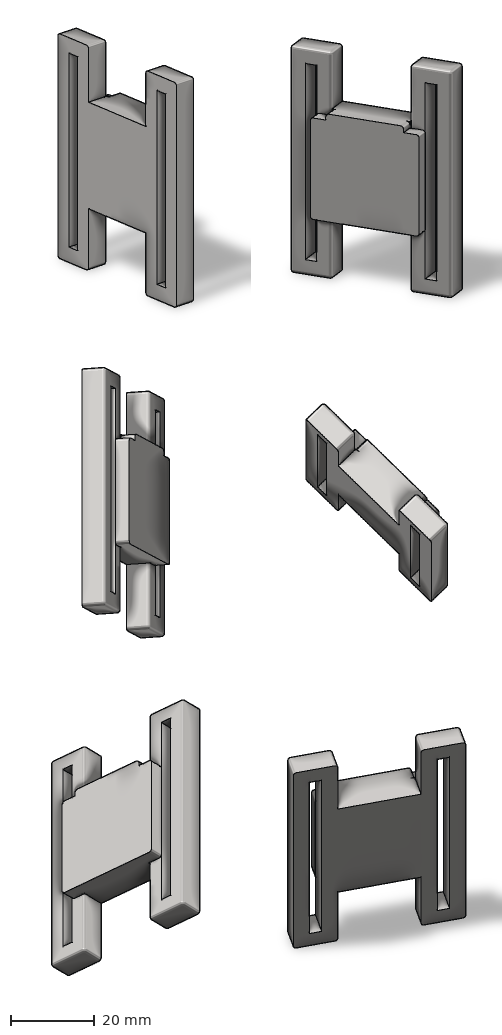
import cadquery as cq

total_width = 42.6
total_depth = 9.5
bar_height = 58.0

bar_width = 11.0
bar_depth = 6.0
edge_radius = 0.8
slot_width = 3.0
slot_margin = 4.0

bridge_bottom = 16.0
bridge_height = 27.5
bridge_width = total_width - 2 * bar_width
pad_width = 28.65
pad_shoulder_drop = 1.6
pad_top_radius = 0.9
pad_depth = total_depth - bar_depth


def block(width, depth, height, front, bottom):
    """Box centred on X, starting at the given front (Y) and bottom (Z)."""
    return cq.Workplane("XY").box(width, depth, height, centered=(True, False, False)).translate(
        (0, front, bottom)
    )


def slotted_bar(center_x):
    """Upright bar with rounded corners, a rounded rear rim and a through slot."""
    bar = block(bar_width, bar_depth, bar_height, 0, 0)
    bar = bar.edges("|Y").fillet(edge_radius)
    bar = bar.faces(">Y").edges().fillet(edge_radius)
    slot_height = bar_height - 2 * slot_margin
    slot = block(slot_width, bar_depth, slot_height, 0, slot_margin)
    return bar.cut(slot).translate((center_x, 0, 0))


def rear_pad():
    """Wide pad with rounded corners and a narrower raised top."""
    shoulder_height = bridge_height - pad_shoulder_drop
    wide = block(pad_width, pad_depth, shoulder_height, bar_depth, bridge_bottom)
    narrow = block(bridge_width, pad_depth, bridge_height, bar_depth, bridge_bottom)
    wide = wide.edges("|Y").fillet(edge_radius)
    narrow = narrow.edges("|Y and >Z").fillet(pad_top_radius)
    return wide.union(narrow)


bar_offset = (total_width - bar_width) / 2
result = block(bridge_width, bar_depth, bridge_height, 0, bridge_bottom)
for side in (-1, 1):
    result = result.union(slotted_bar(side * bar_offset))
result = result.union(rear_pad())